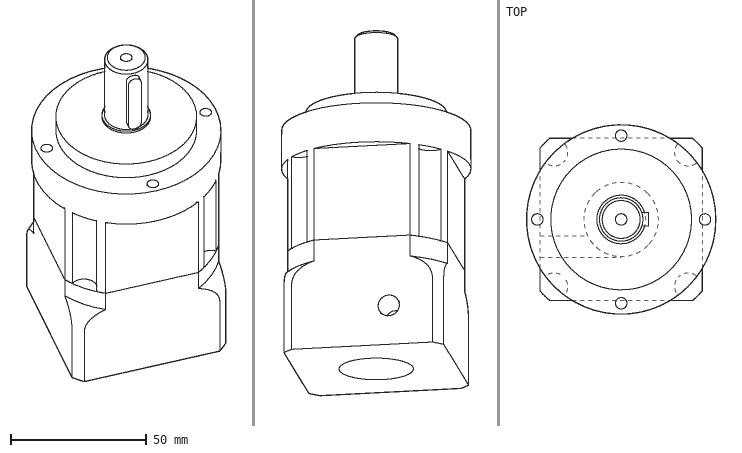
import cadquery as cq
import math

ADAPTER_SHOULDER_Z = 25.0
ADAPTER_TOP_Z = 41.8
FLANGE_BOTTOM_Z = 77.1
FLANGE_TOP_Z = 92.1
PILOT_TOP_Z = 99.0
COLLAR_TOP_Z = 99.8
SHAFT_TOP_Z = 128.5

SQUARE_SIDE = 60.0
FLANGE_DIAMETER = 70.0
ADAPTER_CORNER_RADIUS = 40.0
SHOULDER_RADIUS = 10.0
PILOT_DIAMETER = 52.0
COLLAR_DIAMETER = 18.0
SHAFT_DIAMETER = 16.0
SHAFT_CHAMFER = 1.0

GROOVE_RADIUS = 5.0
GROOVE_COUNT = 4
FIRST_GROOVE_ANGLE = 45.0

DRILL_DIAMETER = 4.2
DRILL_DEPTH = 10.3
DRILL_POINT_ANGLE = 118.0
FLANGE_HOLE_CIRCLE = 62.0
FLANGE_HOLE_COUNT = 4

KEY_WIDTH = 5.0
KEY_LENGTH = 25.0
KEY_BOTTOM_Z = 101.4
KEY_OUTER_X = 10.0

HUB_DIAMETER = 27.5
ACCESS_HOLE_DIAMETER = 8.0
ACCESS_HOLE_Y = -10.0
ACCESS_HOLE_Z = 15.0


def cylinder(diameter, bottom_z, top_z):
    """Cylinder on the Z axis between two heights."""
    return cq.Workplane("XY", origin=(0, 0, bottom_z)).circle(diameter / 2).extrude(top_z - bottom_z)


def square_block(bottom_z, top_z):
    """Square prism on the Z axis between two heights."""
    height = top_z - bottom_z
    return cq.Workplane("XY", origin=(0, 0, bottom_z)).rect(SQUARE_SIDE, SQUARE_SIDE).extrude(height)


def drilled_hole(top_z):
    """Blind hole on the Z axis with a conical bottom, as a cutting body."""
    radius = DRILL_DIAMETER / 2
    point_height = radius / math.tan(math.radians(DRILL_POINT_ANGLE / 2))
    outline = [(0, 0), (radius, 0), (radius, -DRILL_DEPTH), (0, -DRILL_DEPTH - point_height)]
    hole = cq.Workplane("XZ").polyline(outline).close().revolve(360, (0, 0), (0, 1))
    return hole.translate((0, 0, top_z))


def make_key():
    """Round-ended key lying along Z, from the shaft axis out to its outer face."""
    centre_z = KEY_BOTTOM_Z + KEY_LENGTH / 2
    return (
        cq.Workplane("YZ")
        .center(0, centre_z)
        .slot2D(KEY_LENGTH, KEY_WIDTH, 90)
        .extrude(KEY_OUTER_X)
    )


def make_output_shaft():
    """Collar, chamfered shaft and key, with a drilled hole in the end."""
    collar = cylinder(COLLAR_DIAMETER, PILOT_TOP_Z, COLLAR_TOP_Z)
    shaft = cylinder(SHAFT_DIAMETER, PILOT_TOP_Z, SHAFT_TOP_Z).faces(">Z").chamfer(SHAFT_CHAMFER)
    return collar.union(shaft).union(make_key()).cut(drilled_hole(SHAFT_TOP_Z))


def make_gearbox():
    """Square housing with grooved round corners, output flange, pilot and shaft."""
    housing = square_block(ADAPTER_TOP_Z, FLANGE_BOTTOM_Z)
    housing = housing.intersect(cylinder(FLANGE_DIAMETER, ADAPTER_TOP_Z, FLANGE_BOTTOM_Z))

    grooves = (
        cq.Workplane("XY", origin=(0, 0, ADAPTER_TOP_Z))
        .polarArray(FLANGE_DIAMETER / 2, FIRST_GROOVE_ANGLE, 360, GROOVE_COUNT)
        .circle(GROOVE_RADIUS)
        .extrude(FLANGE_BOTTOM_Z - ADAPTER_TOP_Z)
    )
    housing = housing.cut(grooves)

    flange = cylinder(FLANGE_DIAMETER, FLANGE_BOTTOM_Z, FLANGE_TOP_Z)
    flange_hole = drilled_hole(FLANGE_TOP_Z).translate((FLANGE_HOLE_CIRCLE / 2, 0, 0))
    for index in range(FLANGE_HOLE_COUNT):
        angle = index * 360 / FLANGE_HOLE_COUNT
        flange = flange.cut(flange_hole.rotate((0, 0, 0), (0, 0, 1), angle))

    pilot = cylinder(PILOT_DIAMETER, FLANGE_TOP_Z, PILOT_TOP_Z)
    return housing.union(flange).union(pilot).union(make_output_shaft())


def make_adapter():
    """Square motor adapter with rounded corner shoulders and a bore that fits the hub."""
    base = cylinder(2 * ADAPTER_CORNER_RADIUS, 0, ADAPTER_SHOULDER_Z + SHOULDER_RADIUS)
    base = base.faces(">Z").edges().fillet(SHOULDER_RADIUS)

    core = cylinder(FLANGE_DIAMETER, 0, ADAPTER_TOP_Z)
    adapter = square_block(0, ADAPTER_TOP_Z).intersect(base.union(core))

    bore = cylinder(HUB_DIAMETER, 0, ADAPTER_TOP_Z)
    access_hole = (
        cq.Workplane("YZ", origin=(-SQUARE_SIDE / 2, ACCESS_HOLE_Y, ACCESS_HOLE_Z))
        .circle(ACCESS_HOLE_DIAMETER / 2)
        .extrude(SQUARE_SIDE / 2)
    )
    return adapter.cut(bore).cut(access_hole)


def make_input_hub():
    """Round hub filling the adapter bore, seated against the gearbox."""
    return cylinder(HUB_DIAMETER, 0, ADAPTER_TOP_Z)


gearbox = make_gearbox()
adapter = make_adapter()
input_hub = make_input_hub()

result = cq.Compound.makeCompound([gearbox.val(), adapter.val(), input_hub.val()])